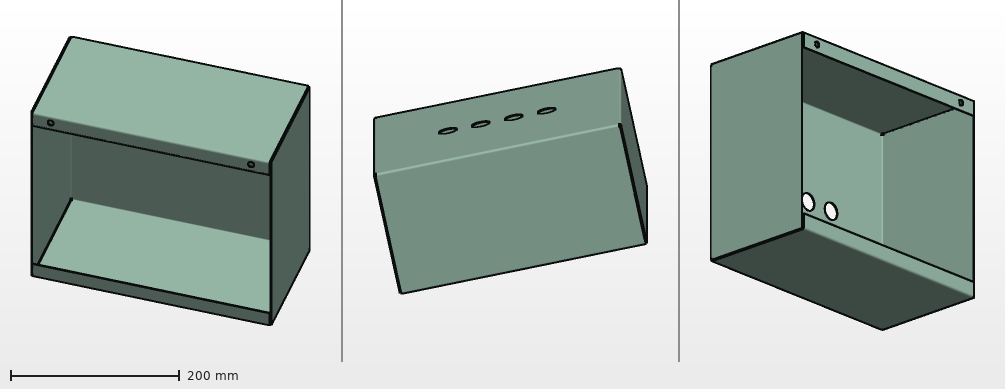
import cadquery as cq

width = 300.0
depth = 151.5
height = 253.0

sheet = 1.5
inner_radius = 1.5
outer_radius = inner_radius + sheet
seam_gap = 0.5
side_end_inset = 1.2

lip_height = 20.0
lip_hole_diameter = 7.5
lip_hole_spacing = 250.0
lip_hole_drop = 10.0

back_hole_diameter = 22.0
back_hole_pitch = 40.0
back_hole_count = 4

back_y = depth / 2
front_y = -depth / 2
edge_inset = sheet + seam_gap
side_front_y = front_y + edge_inset
panel_length = width - 2 * edge_inset
side_length = height - 2 * side_end_inset
back_flat_width = width - 2 * outer_radius
back_flat_height = height - 2 * outer_radius


def make_box(x_size, y_size, z_size, y_min):
    """Box centred on X and Z that starts at y_min."""
    return cq.Workplane("XY").box(x_size, y_size, z_size).translate((0, y_min + y_size / 2, 0))


def make_top_and_bottom():
    """Top, bottom, back flat and front lips, bent about X."""
    outer = make_box(panel_length, depth, height, front_y).edges("|X").fillet(outer_radius)
    inner = make_box(panel_length, depth - 2 * sheet, height - 2 * sheet, front_y + sheet)
    inner = inner.edges("|X").fillet(inner_radius)
    opening = make_box(panel_length, outer_radius, height - 2 * lip_height, front_y)
    back_zone = make_box(width, outer_radius, height, back_y - outer_radius)
    back_keep = make_box(back_flat_width, outer_radius, height, back_y - outer_radius)
    return outer.cut(inner).cut(opening).cut(back_zone.cut(back_keep))


def make_sides():
    """Side walls and back flat, bent about Z."""
    side_depth = back_y - side_front_y
    outer = make_box(width, side_depth, side_length, side_front_y)
    outer = outer.edges("|Z and >Y").fillet(outer_radius)
    inner = make_box(width - 2 * sheet, side_depth - sheet, side_length, side_front_y)
    inner = inner.edges("|Z and >Y").fillet(inner_radius)
    back_zone = make_box(width, outer_radius, height, back_y - outer_radius)
    back_keep = make_box(width, outer_radius, back_flat_height, back_y - outer_radius)
    return outer.cut(inner).cut(back_zone.cut(back_keep))


def make_hole_cutter(x, z, diameter, y_min, length):
    """Cylinder along +Y that starts at y_min."""
    return cq.Workplane(cq.Solid.makeCylinder(
        diameter / 2, length, cq.Vector(x, y_min, z), cq.Vector(0, 1, 0)
    ))


result = make_top_and_bottom().union(make_sides())

for side in (-1, 1):
    hole_x = side * lip_hole_spacing / 2
    hole_z = height / 2 - lip_hole_drop
    result = result.cut(make_hole_cutter(hole_x, hole_z, lip_hole_diameter, front_y, sheet))

for index in range(back_hole_count):
    hole_x = (index - (back_hole_count - 1) / 2) * back_hole_pitch
    result = result.cut(make_hole_cutter(hole_x, 0, back_hole_diameter, back_y - sheet, sheet))